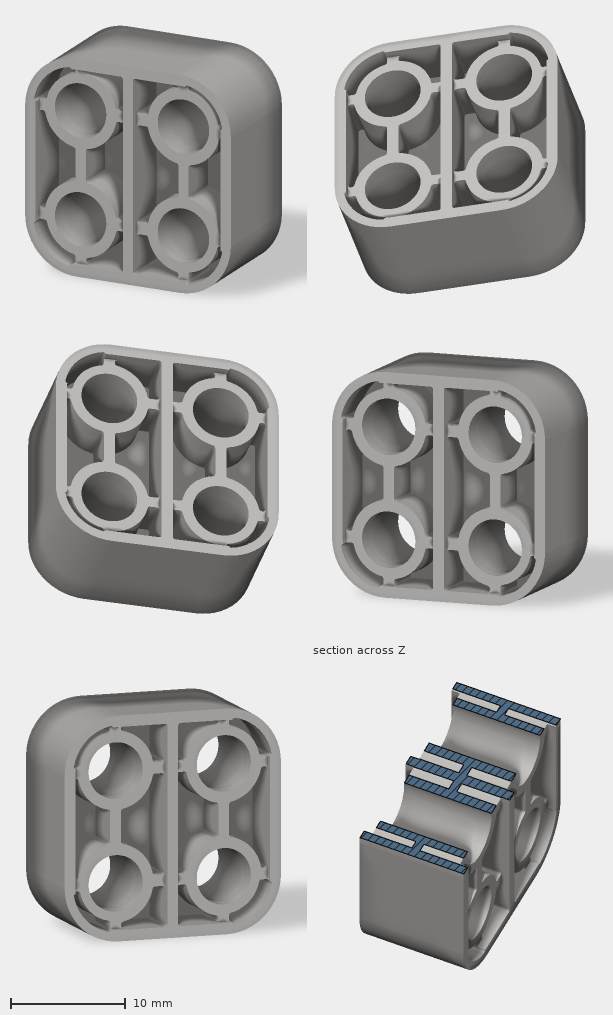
import cadquery as cq

side = 20.0
thickness = 10.0
hole_pitch = side / 2
corner_radius = side / 4
wall = 1.0
hole_diameter = 5.0
tube_diameter = 7.0
recess_depth = 0.8
web = 0.8
slot_inner_radius = 3.35
slot_outer_radius = 4.2
pocket_fillet = 0.25

hole_offset = hole_pitch / 2
tube_radius = tube_diameter / 2
half_wall = wall / 2
inner_face = side / 2 - wall
rib_near = hole_offset - half_wall
rib_far = hole_offset + half_wall
pocket_depth = (thickness - web) / 2
signs = (-1, 1)
hole_centers = [(x * hole_offset, z * hole_offset) for x in signs for z in signs]


def extrude_inwards(sketch, depth):
    """Extrude a front-face sketch into the part, towards +Y."""
    return sketch.extrude(-depth)


def front_face():
    """XZ sketch plane on the front (-Y) face."""
    return cq.Workplane("XZ", origin=(0, -thickness / 2, 0))


def block(x_min, x_max, z_min, z_max, depth):
    """Rectangular block reaching inwards from the front face."""
    center = ((x_min + x_max) / 2, (z_min + z_max) / 2)
    return extrude_inwards(front_face().center(*center).rect(x_max - x_min, z_max - z_min), depth)


def cylinders(radius, depth):
    """Cylinders on the four hole axes."""
    return extrude_inwards(front_face().pushPoints(hole_centers).circle(radius), depth)


def recess():
    """Shallow opening on the +X side of the central divider."""
    opening = block(half_wall, inner_face, -inner_face, inner_face, recess_depth)
    opening = opening.edges("|Y and >X").fillet(corner_radius - wall)
    return opening.edges("|Y and <X").fillet(pocket_fillet)


def pocket(x_min, x_max, z_min, z_max):
    """Rectangular pocket that flows around the tubes."""
    space = block(x_min, x_max, z_min, z_max, pocket_depth)
    space = space.cut(cylinders(tube_radius, pocket_depth))
    return space.edges("|Y").fillet(pocket_fillet)


def corner_slot():
    """Curved slot between a tube and the rounded outer corner."""
    ring = cylinders(slot_outer_radius, pocket_depth).cut(cylinders(slot_inner_radius, pocket_depth))
    quadrant = block(rib_far, side / 2, rib_far, side / 2, pocket_depth)
    return quadrant.intersect(ring).edges("|Y").fillet(pocket_fillet)


def half_cavities():
    """All front cavities on the +X side of the central divider."""
    end_pocket = pocket(half_wall, rib_near, rib_far, inner_face)
    slot = corner_slot()
    return [
        recess(),
        pocket(half_wall, rib_near, -rib_near, rib_near),
        pocket(rib_far, inner_face, -rib_near, rib_near),
        end_pocket,
        end_pocket.mirror("XY"),
        slot,
        slot.mirror("XY"),
    ]


body = cq.Workplane().box(side, thickness, side).edges("|Y").fillet(corner_radius)
body = body.cut(cylinders(hole_diameter / 2, thickness))

for cavity in half_cavities():
    front_pair = cavity.union(cavity.mirror("YZ"))
    body = body.cut(front_pair).cut(front_pair.mirror("XZ"))

result = body